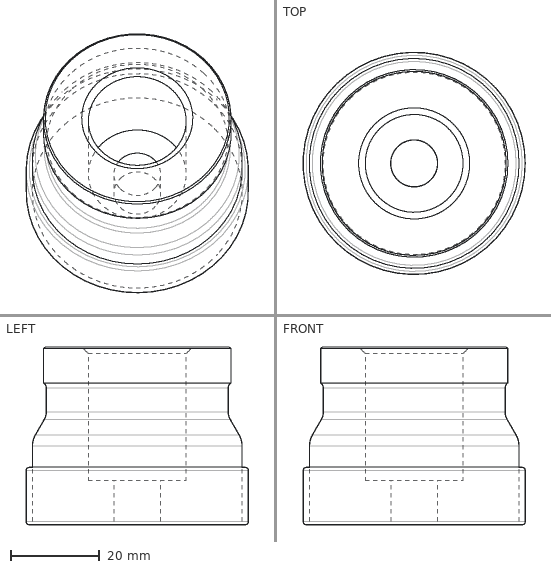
import cadquery as cq
import math

HEIGHT = 40.0
COLLAR_RADIUS = 25.0
COLLAR_HEIGHT = 12.95
COLLAR_ROUNDING = 0.7

LOWER_RADIUS = 47.2 / 2
NECK_RADIUS = 41.0 / 2
HEAD_RADIUS = 21.1
HEAD_BOTTOM = 31.95
HEAD_CHAMFER = 0.4

SHOULDER_BOTTOM = 17.75
SHOULDER_ANGLE = math.radians(30)
SHOULDER_ROUNDING = 5.0
NECK_BLEND = 3.25

UNDERCUT_BLEND = 1.5
UNDERCUT_ANGLE = math.radians(45)

BORE_RADIUS = 22.0 / 2
BORE_FLOOR = 10.0
BORE_CHAMFER = 1.5
HOLE_RADIUS = 10.5 / 2


def arc_point(center, radius, angle):
    """Point on a circle in the radius-height plane."""
    return (center[0] + radius * math.cos(angle), center[1] + radius * math.sin(angle))


def make_bushing():
    """Revolved bushing with a conical shoulder, a head and a stepped bore."""
    rounding_center = (LOWER_RADIUS - SHOULDER_ROUNDING, SHOULDER_BOTTOM)
    cone_bottom = arc_point(rounding_center, SHOULDER_ROUNDING, SHOULDER_ANGLE)

    blend_start_radius = NECK_RADIUS + NECK_BLEND * (1 - math.cos(SHOULDER_ANGLE))
    cone_height = (cone_bottom[0] - blend_start_radius) / math.tan(SHOULDER_ANGLE)
    cone_top = (blend_start_radius, cone_bottom[1] + cone_height)
    blend_center = (NECK_RADIUS + NECK_BLEND, cone_top[1] + NECK_BLEND * math.sin(SHOULDER_ANGLE))

    undercut_end_radius = NECK_RADIUS + UNDERCUT_BLEND * (1 - math.cos(UNDERCUT_ANGLE))
    undercut_end_height = HEAD_BOTTOM - (HEAD_RADIUS - undercut_end_radius) / math.tan(UNDERCUT_ANGLE)
    undercut_center = (
        NECK_RADIUS + UNDERCUT_BLEND,
        undercut_end_height - UNDERCUT_BLEND * math.sin(UNDERCUT_ANGLE),
    )

    profile = (
        cq.Workplane("XZ")
        .moveTo(HOLE_RADIUS, 0)
        .lineTo(LOWER_RADIUS, 0)
        .lineTo(LOWER_RADIUS, SHOULDER_BOTTOM)
        .threePointArc(arc_point(rounding_center, SHOULDER_ROUNDING, SHOULDER_ANGLE / 2), cone_bottom)
        .lineTo(*cone_top)
        .threePointArc(
            arc_point(blend_center, NECK_BLEND, math.pi + SHOULDER_ANGLE / 2),
            (NECK_RADIUS, blend_center[1]),
        )
        .lineTo(NECK_RADIUS, undercut_center[1])
        .threePointArc(
            arc_point(undercut_center, UNDERCUT_BLEND, math.pi - UNDERCUT_ANGLE / 2),
            (undercut_end_radius, undercut_end_height),
        )
        .lineTo(HEAD_RADIUS, HEAD_BOTTOM)
        .lineTo(HEAD_RADIUS, HEIGHT - HEAD_CHAMFER)
        .lineTo(HEAD_RADIUS - HEAD_CHAMFER, HEIGHT)
        .lineTo(BORE_RADIUS + BORE_CHAMFER, HEIGHT)
        .lineTo(BORE_RADIUS, HEIGHT - BORE_CHAMFER)
        .lineTo(BORE_RADIUS, BORE_FLOOR)
        .lineTo(HOLE_RADIUS, BORE_FLOOR)
        .close()
    )
    return profile.revolve(360, (0, 0, 0), (0, 1, 0))


def make_collar():
    """Ring around the foot of the bushing, with rounded outer edges."""
    blank = cq.Workplane("XY").circle(COLLAR_RADIUS).extrude(COLLAR_HEIGHT)
    opening = cq.Workplane("XY").circle(LOWER_RADIUS).extrude(COLLAR_HEIGHT)
    return blank.edges("%CIRCLE").fillet(COLLAR_ROUNDING).cut(opening)


bushing = make_bushing()
collar = make_collar()
result = cq.Compound.makeCompound([bushing.val(), *collar.vals()])